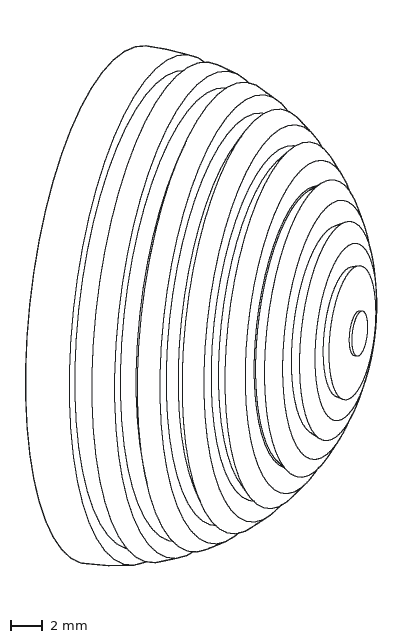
import cadquery as cq
import math

DOME_RADIUS = 16.5
GROOVE_DEPTH = 1.0
FLOOR_RADIUS = DOME_RADIUS - GROOVE_DEPTH

GROOVE_PITCH = 10
GROOVE_WIDTH = 5
GROOVE_COUNT = 8

PLATEAU_RADIUS = 12.0
RECESS_RADIUS = 15.5
RECESS_FLOOR_RADIUS = 15.2
RECESS_DEPTH = 1.0


def point_on_sphere(radius, angle):
    """Profile point (axial, radial) at an angle in radians above the back plane."""
    return radius * math.sin(angle), radius * math.cos(angle)


def revolve_about_x(profile):
    return profile.close().revolve(360, (0, 0, 0), (1, 0, 0))


def dome():
    middle = point_on_sphere(DOME_RADIUS, math.radians(45))
    profile = (
        cq.Workplane("XY")
        .lineTo(0, DOME_RADIUS)
        .threePointArc(middle, (DOME_RADIUS, 0))
    )
    return revolve_about_x(profile)


def groove(start_degrees):
    """Ring cut with a flat wall facing the pole and a radial wall opposite."""
    start = math.radians(start_degrees)
    end = math.radians(start_degrees + GROOVE_WIDTH)
    wall_x, rim_radius = point_on_sphere(DOME_RADIUS, start)
    outer_end = point_on_sphere(DOME_RADIUS, end)
    outer_middle = point_on_sphere(DOME_RADIUS, (start + end) / 2)
    profile = (
        cq.Workplane("XY")
        .moveTo(wall_x, rim_radius)
        .threePointArc(outer_middle, outer_end)
    )

    floor_end = point_on_sphere(FLOOR_RADIUS, end)
    if floor_end[0] > wall_x:
        floor_start_angle = math.asin(wall_x / FLOOR_RADIUS)
        floor_middle = point_on_sphere(FLOOR_RADIUS, (floor_start_angle + end) / 2)
        floor_start = point_on_sphere(FLOOR_RADIUS, floor_start_angle)
        profile = profile.lineTo(*floor_end).threePointArc(floor_middle, floor_start)
    else:
        profile = profile.lineTo(wall_x, wall_x / math.tan(end))
    return revolve_about_x(profile)


def back_recess():
    profile = (
        cq.Workplane("XY")
        .moveTo(0, PLATEAU_RADIUS)
        .lineTo(RECESS_DEPTH, RECESS_FLOOR_RADIUS)
        .lineTo(0, RECESS_RADIUS)
    )
    return revolve_about_x(profile)


result = dome().cut(back_recess())
for index in range(1, GROOVE_COUNT + 1):
    result = result.cut(groove(index * GROOVE_PITCH))